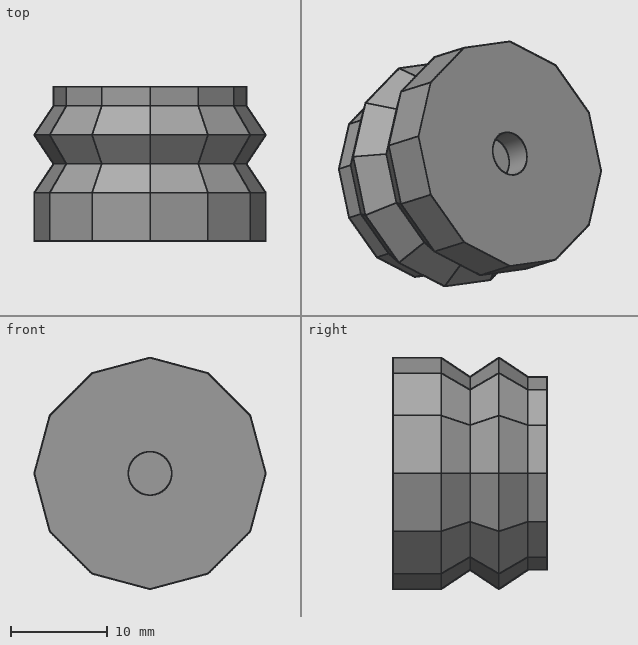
import cadquery as cq
import math

SIDES = 12
RIM_RADIUS = 12.0
WAIST_RADIUS = 10.0

RIM_LENGTH = 5.0
TAPER_LENGTH = 3.0
NECK_LENGTH = 2.0

SEGMENTS = [
    (RIM_LENGTH, RIM_RADIUS, RIM_RADIUS),
    (TAPER_LENGTH, RIM_RADIUS, WAIST_RADIUS),
    (TAPER_LENGTH, WAIST_RADIUS, RIM_RADIUS),
    (TAPER_LENGTH, RIM_RADIUS, WAIST_RADIUS),
    (NECK_LENGTH, WAIST_RADIUS, WAIST_RADIUS),
]
TOTAL_LENGTH = sum(length for length, _, _ in SEGMENTS)
FRONT_Y = -TOTAL_LENGTH / 2

BORE_DIAMETER = 4.5
BORE_DEPTH = 3.0


def polygon_section(y, radius):
    """Regular polygon across the Y axis with a corner on +X."""
    corners = []
    for i in range(SIDES):
        angle = 2 * math.pi * i / SIDES
        corners.append(cq.Vector(radius * math.cos(angle), y, radius * math.sin(angle)))
    return cq.Wire.makePolygon(corners, close=True)


def make_segment(y_front, length, front_radius, back_radius):
    """Straight or tapered polygonal segment with flat facets."""
    front = polygon_section(y_front, front_radius)
    back = polygon_section(y_front + length, back_radius)
    return cq.Solid.makeLoft([front, back], ruled=True)


def make_body():
    """Stack the segments from the front face to the back face."""
    body = cq.Workplane()
    y = FRONT_Y
    for length, front_radius, back_radius in SEGMENTS:
        body = body.add(make_segment(y, length, front_radius, back_radius))
        y += length
    return body.combine()


def make_bore():
    """Blind round bore entering from the front face."""
    front_plane = cq.Workplane("XZ", origin=(0, FRONT_Y, 0))
    return front_plane.circle(BORE_DIAMETER / 2).extrude(-BORE_DEPTH)


result = make_body().cut(make_bore())